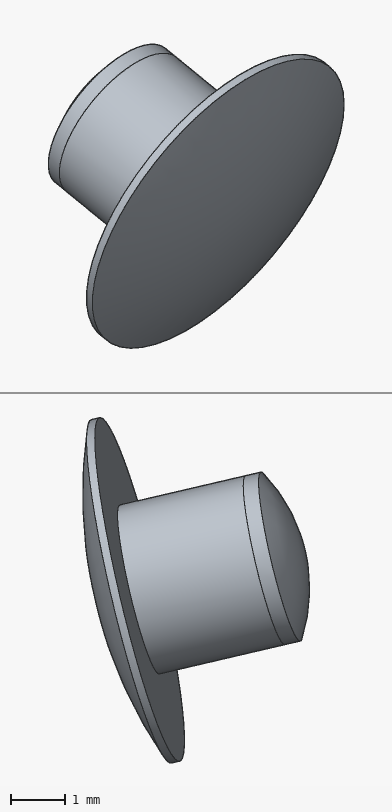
import cadquery as cq

flange_diameter = 6.5
flange_rim_thickness = 0.155
head_dome_height = 0.64
shank_diameter = 3.2
shank_length = 2.39
tip_rim_length = 0.29
tip_dome_height = 0.45

flange_radius = flange_diameter / 2
shank_radius = shank_diameter / 2


def domed_disc(start_x, rim_length, radius, dome_height, direction):
    """Disc along X from start_x, closed by a spherical cap; direction is +1 or -1."""
    rim_x = start_x + direction * rim_length
    apex_x = rim_x + direction * dome_height
    sphere_radius = (radius**2 + dome_height**2) / (2 * dome_height)
    center_x = apex_x - direction * sphere_radius
    mid_radius = radius / 2
    mid_x = center_x + direction * (sphere_radius**2 - mid_radius**2) ** 0.5
    return (
        cq.Workplane("XY")
        .moveTo(start_x, 0)
        .lineTo(start_x, radius)
        .lineTo(rim_x, radius)
        .threePointArc((mid_x, mid_radius), (apex_x, 0))
        .close()
        .revolve(360, (0, 0, 0), (1, 0, 0))
    )


def make_rivet():
    """Domed flange with a plain cylindrical shank, as one solid."""
    head = domed_disc(0, flange_rim_thickness, flange_radius, head_dome_height, 1)
    shank = cq.Workplane("YZ").circle(shank_radius).extrude(-shank_length)
    return head.union(shank)


def make_tip():
    """Short domed cap seated flat on the free end of the shank."""
    return domed_disc(-shank_length, tip_rim_length, shank_radius, tip_dome_height, -1)


rivet = make_rivet()
tip = make_tip()

result = cq.Compound.makeCompound([rivet.val(), tip.val()])